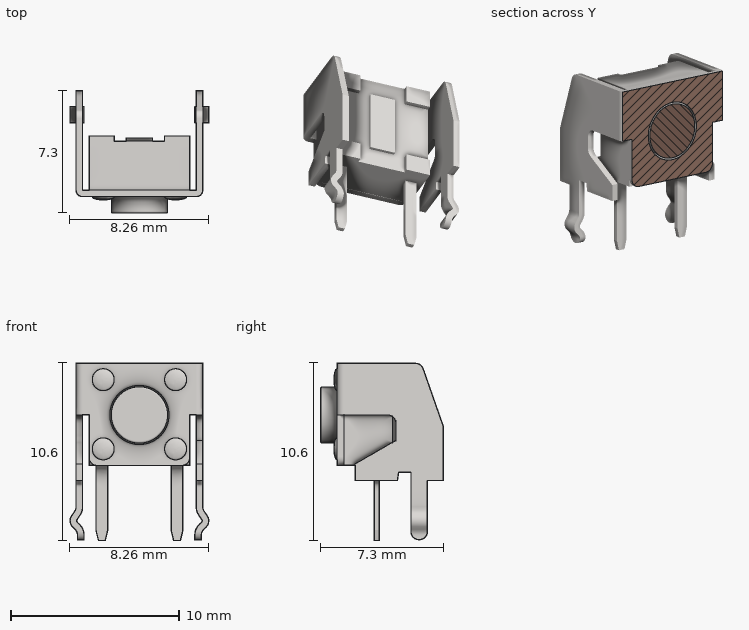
import cadquery as cq
import math


overall_width = 8.26
overall_height = 10.55

sheet = 0.4
bracket_half_width = 3.78
bracket_top = 3.08
inner_face_x = bracket_half_width - sheet

tab_half_width = 3.0
tab_bottom = -3.02
tab_corner_radius = 0.51
button_hole_radius = 1.76

stud_radius = 0.65
stud_height = 0.19
stud_half_pitch_x = 2.15
stud_half_pitch_z = 2.06
stud_centre_z = 0.04

side_back = 6.32
side_bottom = -3.9
slope_bottom_z = -0.65
slope_top_y = 5.01
slope_corner_radius = 0.5
slot_back = 3.5
slot_corner_radius = 0.5
arm_front = 1.08
arm_slope = math.radians(30)
arm_heel_z = -1.51
notch_top = -3.41
notch_front_bottom = 3.6
notch_front_top = 3.67

leg_width = 0.99
leg_centre_y = 4.88
leg_bend_start_z = -5.48
leg_bottom = -7.43
leg_tip_x = 3.49
leg_reach = overall_width / 2
wide_bend = 0.64
tight_bend = 0.32
outward_angle = math.radians(34)
inward_angle = math.radians(45)

body_half_width = tab_half_width
body_half_height = 3.0
body_floor = 3.3
feet_back = 3.62
channel_half_width = 1.49
channel_half_height = 1.9
rib_back = 3.5
rib_half_width = 0.79

button_radius = 1.68
button_front = -0.98
button_edge_radius = 0.11

pin_centre_x = 2.24
pin_width = 0.71
pin_tip_width = 0.41
pin_thickness = 0.31
pin_centre_y = 2.36
pin_taper_z = -6.87
pin_bottom = bracket_top - overall_height


def box(x_range, y_range, z_range):
    """Axis-aligned block between the given limits."""
    size = [high - low for low, high in (x_range, y_range, z_range)]
    corner = (x_range[0], y_range[0], z_range[0])
    return cq.Workplane("XY").box(*size, centered=False).translate(corner)


def disc(radius, y_front, y_back):
    """Cylinder along Y, centred on the button axis."""
    return cq.Workplane("XZ", origin=(0, y_back, 0)).circle(radius).extrude(y_back - y_front)


def make_front_plate():
    """Front plate, wide between the bends and narrower below them, with the button hole."""
    upper = box((-inner_face_x, inner_face_x), (0, sheet), (0, bracket_top))
    tab = box((-tab_half_width, tab_half_width), (0, sheet), (tab_bottom, 0))
    tab = tab.edges("|Y and <Z").fillet(tab_corner_radius)
    return upper.union(tab).cut(disc(button_hole_radius, 0, sheet))


def make_side_plate(lower_corner_rounded):
    """Side plate in its +X position, without its leg and bend."""
    arm_front_z = arm_heel_z - (slot_back - arm_front) * math.tan(arm_slope)
    leg_front = leg_centre_y - leg_width / 2
    plate = (
        cq.Workplane("YZ", origin=(inner_face_x, 0, 0))
        .moveTo(sheet, bracket_top)
        .lineTo(slope_top_y, bracket_top)
        .lineTo(side_back, slope_bottom_z)
        .lineTo(side_back, side_bottom)
        .lineTo(leg_front, side_bottom)
        .lineTo(leg_front, notch_top)
        .lineTo(notch_front_top, notch_top)
        .lineTo(notch_front_bottom, side_bottom)
        .lineTo(arm_front, side_bottom)
        .lineTo(arm_front, arm_front_z)
        .lineTo(slot_back, arm_heel_z)
        .lineTo(slot_back, 0)
        .lineTo(sheet, 0)
        .close()
        .extrude(sheet)
    )
    middle_x = inner_face_x + sheet / 2

    def corner(y, z):
        return cq.selectors.NearestToPointSelector((middle_x, y, z))

    plate = plate.edges(corner(slope_top_y, bracket_top)).fillet(slope_corner_radius)
    plate = plate.edges(corner(slot_back, 0)).fillet(slot_corner_radius)
    if lower_corner_rounded:
        plate = plate.edges(corner(slot_back, arm_heel_z)).fillet(slot_corner_radius)
    return plate


def make_bend():
    """Quarter-round bend joining the front plate to the +X side plate."""
    full_round = cq.Workplane("XY", origin=(inner_face_x, sheet, 0)).circle(sheet).extrude(bracket_top)
    quarter = box((inner_face_x, bracket_half_width), (0, sheet), (0, bracket_top))
    return full_round.intersect(quarter)


def make_leg():
    """Leg on the +X side: a strip kinked outward and back, with a round tip."""
    start_x = bracket_half_width - sheet / 2
    peak_x = leg_reach - sheet / 2
    out_sin, out_cos = math.sin(outward_angle), math.cos(outward_angle)
    in_sin, in_cos = math.sin(inward_angle), math.cos(inward_angle)

    out_start = (start_x + wide_bend * (1 - out_cos), leg_bend_start_z - wide_bend * out_sin)
    out_end_x = peak_x - tight_bend * (1 - out_cos)
    out_end = (out_end_x, out_start[1] - (out_end_x - out_start[0]) / math.tan(outward_angle))
    peak = (peak_x, out_end[1] - tight_bend * out_sin)
    in_start = (peak_x - tight_bend * (1 - in_cos), peak[1] - tight_bend * in_sin)
    in_end_x = leg_tip_x + wide_bend * (1 - in_cos)
    in_end = (in_end_x, in_start[1] - (in_start[0] - in_end_x) / math.tan(inward_angle))
    tip_start = (leg_tip_x, in_end[1] - wide_bend * in_sin)

    path = (
        cq.Workplane("XZ", origin=(0, leg_centre_y, 0))
        .moveTo(start_x, side_bottom)
        .lineTo(start_x, leg_bend_start_z)
        .tangentArcPoint(out_start, relative=False)
        .lineTo(*out_end)
        .tangentArcPoint(peak, relative=False)
        .tangentArcPoint(in_start, relative=False)
        .lineTo(*in_end)
        .tangentArcPoint(tip_start, relative=False)
        .lineTo(leg_tip_x, leg_bottom)
    )
    section = cq.Workplane("XY", origin=(start_x, leg_centre_y, side_bottom)).rect(sheet, leg_width)
    strip = section.sweep(path)

    tip_radius = leg_width / 2
    tip_centre_z = leg_bottom + tip_radius
    outline = (
        cq.Workplane("YZ")
        .moveTo(leg_centre_y - tip_radius, side_bottom)
        .lineTo(leg_centre_y - tip_radius, tip_centre_z)
        .threePointArc((leg_centre_y, leg_bottom), (leg_centre_y + tip_radius, tip_centre_z))
        .lineTo(leg_centre_y + tip_radius, side_bottom)
        .close()
        .extrude(leg_reach)
    )
    return strip.intersect(outline)


def make_stud():
    """Half-ellipsoid dome bulging toward -Y from the origin."""
    return (
        cq.Workplane("XY")
        .lineTo(0, -stud_height)
        .ellipseArc(stud_radius, stud_height, 270, 360, startAtCurrent=True)
        .close()
        .revolve(360, (0, 0), (0, 1))
    )


def make_bracket():
    """The whole sheet-metal bracket with its four studs."""
    bend_and_leg = make_bend().union(make_leg())
    right_side = make_side_plate(lower_corner_rounded=False).union(bend_and_leg)
    left_side = make_side_plate(lower_corner_rounded=True).union(bend_and_leg).mirror("YZ")
    bracket = make_front_plate().union(right_side).union(left_side)
    for x in (-stud_half_pitch_x, stud_half_pitch_x):
        for z in (stud_centre_z - stud_half_pitch_z, stud_centre_z + stud_half_pitch_z):
            bracket = bracket.union(make_stud().translate((x, 0, z)))
    return bracket


def make_housing():
    """Block behind the front plate, with four rear corner feet and an upright rib between them."""
    block = box(
        (-body_half_width, body_half_width),
        (sheet, feet_back),
        (-body_half_height, body_half_height),
    )
    upright_channel = box(
        (-channel_half_width, channel_half_width),
        (body_floor, feet_back),
        (-body_half_height, body_half_height),
    )
    level_channel = box(
        (-body_half_width, body_half_width),
        (body_floor, feet_back),
        (-channel_half_height, channel_half_height),
    )
    rib = box(
        (-rib_half_width, rib_half_width),
        (body_floor, rib_back),
        (-channel_half_height, channel_half_height),
    )
    return block.cut(upright_channel).cut(level_channel).union(rib)


def make_button():
    """Round button standing out through the hole in the front plate."""
    return disc(button_radius, button_front, sheet).faces("<Y").edges().fillet(button_edge_radius)


def make_pin(centre_x):
    """Flat contact pin below the housing, tapered at its tip."""
    half_width = pin_width / 2
    half_tip = pin_tip_width / 2
    return (
        cq.Workplane("XZ", origin=(centre_x, pin_centre_y + pin_thickness / 2, 0))
        .moveTo(-half_width, -body_half_height)
        .lineTo(-half_width, pin_taper_z)
        .lineTo(-half_tip, pin_bottom)
        .lineTo(half_tip, pin_bottom)
        .lineTo(half_width, pin_taper_z)
        .lineTo(half_width, -body_half_height)
        .close()
        .extrude(pin_thickness)
    )


def make_switch():
    """The switch as one body: housing, button and both pins."""
    switch = make_housing().union(make_button())
    for x in (-pin_centre_x, pin_centre_x):
        switch = switch.union(make_pin(x))
    return switch


bracket = make_bracket()
switch = make_switch()
result = cq.Compound.makeCompound([bracket.solids().val(), switch.solids().val()])